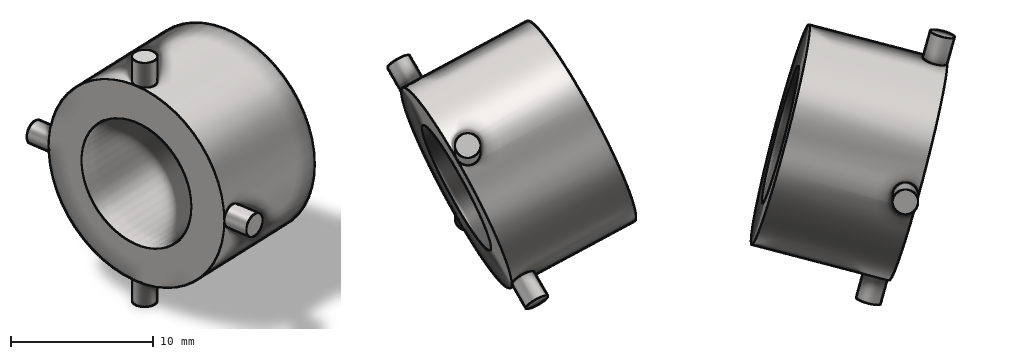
import cadquery as cq

pin_span = 20.0
ring_diameter = 16.0
bore_diameter = 10.0
ring_length = 10.0
pin_diameter = 1.8
pin_count = 4

pin_setback = 0.005
pin_center_y = pin_diameter / 2 + pin_setback
pin_root_radius = (ring_diameter + bore_diameter) / 4
pin_length = pin_span / 2 - pin_root_radius


def make_ring():
    """Plain ring with its axis along Y and its front face at Y = 0."""
    return (
        cq.Workplane("XZ")
        .circle(ring_diameter / 2)
        .circle(bore_diameter / 2)
        .extrude(-ring_length)
    )


def make_pin(angle):
    """Radial pin, turned about the Y axis from the upright position."""
    return (
        cq.Workplane("XY", origin=(0, pin_center_y, pin_root_radius))
        .circle(pin_diameter / 2)
        .extrude(pin_length)
        .rotate((0, 0, 0), (0, 1, 0), angle)
    )


result = make_ring()
for index in range(pin_count):
    result = result.union(make_pin(index * 360 / pin_count))